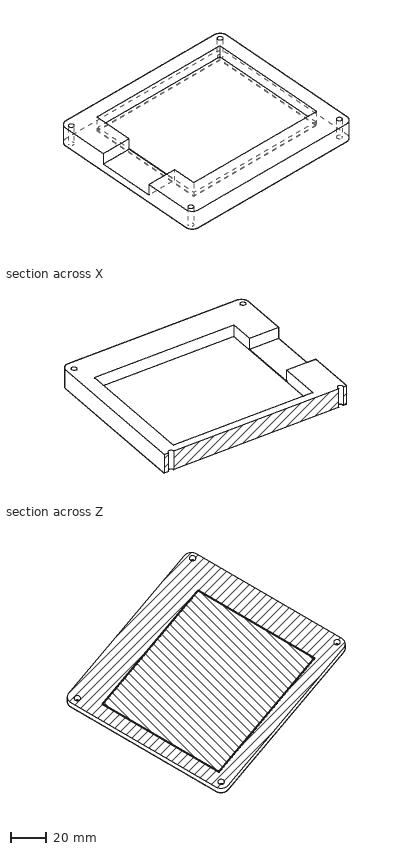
import cadquery as cq

WIDTH = 110.5
LENGTH = 124.4
HEIGHT = 13.0
CORNER_RADIUS = 5.0

POCKET_LEFT = 9.6
POCKET_FRONT = 19.9
POCKET_WIDTH = 81.0
POCKET_LENGTH = 95.0
POCKET_FLOOR = 3.0

NOTCH_LEFT = 36.5
NOTCH_WIDTH = 38.0
NOTCH_FLOOR = 5.5

PANEL_CLEARANCE = 0.4
PANEL_TOP = NOTCH_FLOOR

HOLE_DIAMETER = 3.4
HOLE_CENTERS = [(5.5, 3.9), (105.5, 3.9), (4.7, 119.7), (104.4, 119.7)]


def box_at(x, y, z, width, length, height):
    """Box with its lowest corner at (x, y, z)."""
    return cq.Workplane("XY").box(width, length, height, centered=False).translate((x, y, z))


def make_housing():
    block = box_at(0, 0, 0, WIDTH, LENGTH, HEIGHT).edges("|Z").fillet(CORNER_RADIUS)
    pocket = box_at(
        POCKET_LEFT, POCKET_FRONT, POCKET_FLOOR,
        POCKET_WIDTH, POCKET_LENGTH, HEIGHT - POCKET_FLOOR,
    )
    notch = box_at(
        NOTCH_LEFT, 0, NOTCH_FLOOR,
        NOTCH_WIDTH, POCKET_FRONT, HEIGHT - NOTCH_FLOOR,
    )
    holes = cq.Workplane("XY").pushPoints(HOLE_CENTERS).circle(HOLE_DIAMETER / 2).extrude(HEIGHT)
    return block.cut(pocket).cut(notch).cut(holes)


def make_panel():
    """Panel with an even gap to the four pocket walls."""
    return box_at(
        POCKET_LEFT + PANEL_CLEARANCE, POCKET_FRONT + PANEL_CLEARANCE, POCKET_FLOOR,
        POCKET_WIDTH - 2 * PANEL_CLEARANCE, POCKET_LENGTH - 2 * PANEL_CLEARANCE,
        PANEL_TOP - POCKET_FLOOR,
    )


housing = make_housing()
panel = make_panel()

result = cq.Compound.makeCompound([housing.val(), panel.val()])